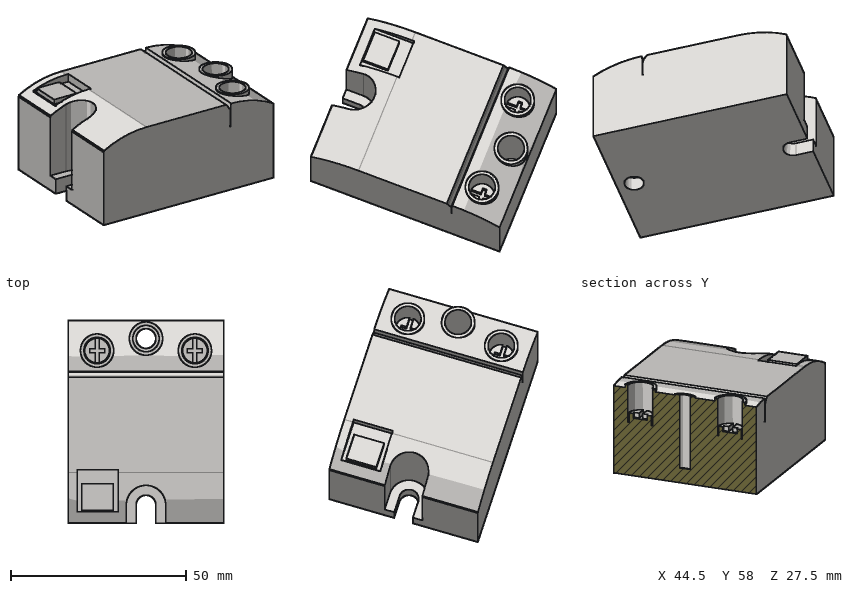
import cadquery as cq
import math

WIDTH = 44.5
LENGTH = 58.0
TOP_Z = 27.25
HALF_LENGTH = LENGTH / 2

ARC_START = 14.4
ARC_DROP = 3.8
ARC_SPAN = HALF_LENGTH - ARC_START
ARC_RADIUS = (ARC_SPAN**2 + ARC_DROP**2) / (2 * ARC_DROP)
EDGE_BEVEL_Y = 0.2
EDGE_BEVEL_Z = 0.45

SLIT_Y = 14.2
SLIT_WIDTH = 0.2
SLIT_FLOOR_Z = 20.0
GROOVE_FLOOR_Z = 25.5
GROOVE_BACK_Y = 14.5
GROOVE_BEVEL_Y = 13.15
GROOVE_BEVEL_Z = 26.85
GROOVE_FRONT_Y = 12.75

MOUNT_Y = 23.8
BOLT_RADIUS = 2.8
SLOT_RECESS_RADIUS = 5.6
SHELF_Z = 4.65

COLLAR_RADIUS = 4.75
BORE_RADIUS = 3.75
MOUNT_COLLAR_TOP_Z = 26.9
TERMINAL_COLLAR_TOP_Z = 27.5
COLLAR_ROOT_Z = 22.05
TERMINAL_X = 14.0
TERMINAL_Y = 20.35

BORE_FLOOR_Z = 16.25
SCREW_RADIUS = 3.55
SCREW_HEIGHT = 2.9
CROSS_WIDTH = 1.15
CROSS_SHORT_LENGTH = 4.3
CROSS_DEPTH = 1.45

WINDOW_WIDTH = 11.65
WINDOW_LENGTH = 12.05
WINDOW_X = -13.8
WINDOW_Y = -19.65
WINDOW_FLOOR_Z = 24.8
LENS_WIDTH = 9.0
LENS_LENGTH = 7.65
LENS_Y = -21.45
LENS_TOP_Z = 26.3


def arc_height(y):
    """Height of the curved ends at a distance y from the middle."""
    run = abs(y) - ARC_START
    return TOP_Z - ARC_RADIUS + math.sqrt(ARC_RADIUS**2 - run**2)


def cylinder(x, y, radius, bottom, top):
    return cq.Workplane("XY", origin=(x, y, bottom)).circle(radius).extrude(top - bottom)


def box(x, y, size_x, size_y, bottom, top):
    return cq.Workplane("XY", origin=(x, y, bottom)).rect(size_x, size_y).extrude(top - bottom)


def extrude_across(profile):
    """Extrude a closed YZ profile over the full width."""
    return profile.close().extrude(WIDTH / 2, both=True)


def housing():
    arc_middle_y = ARC_START + ARC_SPAN / 2
    bevel_top_y = HALF_LENGTH - EDGE_BEVEL_Y
    bevel_top_z = arc_height(bevel_top_y)
    profile = (
        cq.Workplane("YZ")
        .moveTo(-HALF_LENGTH, 0)
        .lineTo(HALF_LENGTH, 0)
        .lineTo(HALF_LENGTH, arc_height(HALF_LENGTH))
        .threePointArc((arc_middle_y, arc_height(arc_middle_y)), (ARC_START, TOP_Z))
        .lineTo(-ARC_START, TOP_Z)
        .threePointArc((-arc_middle_y, arc_height(arc_middle_y)), (-bevel_top_y, bevel_top_z))
        .lineTo(-HALF_LENGTH, bevel_top_z - EDGE_BEVEL_Z)
    )
    return extrude_across(profile)


def parting_groove():
    slit_back_y = SLIT_Y + SLIT_WIDTH / 2
    slit_front_y = SLIT_Y - SLIT_WIDTH / 2
    profile = (
        cq.Workplane("YZ")
        .moveTo(slit_front_y, SLIT_FLOOR_Z)
        .lineTo(slit_back_y, SLIT_FLOOR_Z)
        .lineTo(slit_back_y, GROOVE_FLOOR_Z)
        .lineTo(GROOVE_BACK_Y, TOP_Z)
        .lineTo(GROOVE_FRONT_Y, TOP_Z)
        .lineTo(GROOVE_BEVEL_Y, GROOVE_BEVEL_Z)
        .lineTo(slit_front_y, GROOVE_FLOOR_Z)
    )
    return extrude_across(profile)


def open_slot(radius, bottom):
    """Round-ended slot running out through the front face."""
    run_out = HALF_LENGTH - MOUNT_Y
    round_end = cylinder(0, -MOUNT_Y, radius, bottom, TOP_Z)
    channel = box(0, -MOUNT_Y - run_out / 2, 2 * radius, run_out, bottom, TOP_Z)
    return round_end.union(channel)


def terminal_screw(x):
    """Cross-slotted screw head standing on the floor of its bore."""
    head_top = BORE_FLOOR_Z + SCREW_HEIGHT
    cross_floor = head_top - CROSS_DEPTH
    head = cylinder(x, TERMINAL_Y, SCREW_RADIUS, BORE_FLOOR_Z, head_top)
    long_bar = box(x, TERMINAL_Y, CROSS_WIDTH, 2 * SCREW_RADIUS, cross_floor, head_top)
    short_bar = box(x, TERMINAL_Y, CROSS_SHORT_LENGTH, CROSS_WIDTH, cross_floor, head_top)
    return head.cut(long_bar).cut(short_bar)


result = housing().cut(parting_groove())

result = result.cut(open_slot(SLOT_RECESS_RADIUS, SHELF_Z))
result = result.cut(open_slot(BOLT_RADIUS, 0))

result = result.union(cylinder(0, MOUNT_Y, COLLAR_RADIUS, COLLAR_ROOT_Z, MOUNT_COLLAR_TOP_Z))
result = result.cut(cylinder(0, MOUNT_Y, BORE_RADIUS, SHELF_Z, MOUNT_COLLAR_TOP_Z))
result = result.cut(cylinder(0, MOUNT_Y, BOLT_RADIUS, 0, SHELF_Z))

for terminal_x in (-TERMINAL_X, TERMINAL_X):
    result = result.union(
        cylinder(terminal_x, TERMINAL_Y, COLLAR_RADIUS, COLLAR_ROOT_Z, TERMINAL_COLLAR_TOP_Z)
    )
    result = result.cut(
        cylinder(terminal_x, TERMINAL_Y, BORE_RADIUS, BORE_FLOOR_Z, TERMINAL_COLLAR_TOP_Z)
    )
    result = result.union(terminal_screw(terminal_x))

result = result.cut(
    box(WINDOW_X, WINDOW_Y, WINDOW_WIDTH, WINDOW_LENGTH, WINDOW_FLOOR_Z, TOP_Z)
)
result = result.union(
    box(WINDOW_X, LENS_Y, LENS_WIDTH, LENS_LENGTH, WINDOW_FLOOR_Z, LENS_TOP_Z)
)